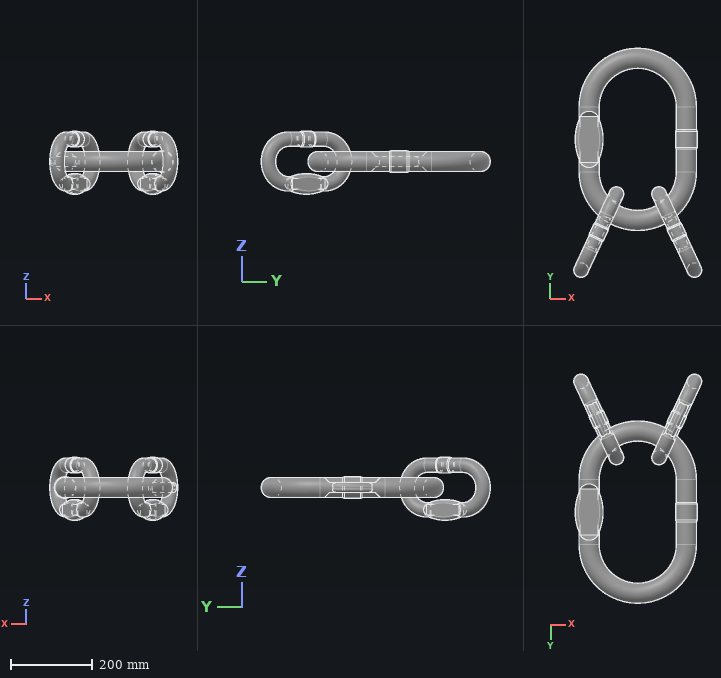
import cadquery as cq

master_wire = 50.0
master_inner_width = 189.0
master_straight = 160.0
master_collar = 53.5
master_collar_length = 39.5
master_collar_taper = 4.5
master_lug_width = 69.5
master_lug_radius = 124.5
master_flat_length = 113.0

sub_wire = 36.0
sub_inner_width = 74.0
sub_straight = 96.5
sub_collar = 39.0
sub_collar_length = 28.0
sub_collar_taper = 3.5
sub_lug_width = 51.5
sub_lug_radius = 113.0
sub_flat_length = 88.5

lug_thickness = 25.0
lug_edge_fillet = 8.5

splay_angle = 25.0
sub_center_x = 96.0
sub_center_y = -228.0


def oval_wire(wire, bend, straight):
    """Round bar following a closed oval, long axis Y."""
    half = straight / 2
    path = (
        cq.Workplane("XY")
        .moveTo(bend, -half)
        .lineTo(bend, half)
        .threePointArc((0, half + bend), (-bend, half))
        .lineTo(-bend, -half)
        .threePointArc((0, -half - bend), (bend, -half))
        .close()
    )
    section = cq.Workplane("XZ", origin=(bend, -half, 0)).circle(wire / 2)
    return section.sweep(path)


def weld_collar(wire, bend, diameter, length, taper):
    """Raised band with tapered ends around the middle of the +X leg."""
    half = length / 2
    end = half + taper
    return (
        cq.Workplane("XY")
        .moveTo(0, -end)
        .lineTo(wire / 2, -end)
        .lineTo(diameter / 2, -half)
        .lineTo(diameter / 2, half)
        .lineTo(wire / 2, end)
        .lineTo(0, end)
        .close()
        .revolve(360, (0, 0, 0), (0, 1, 0))
        .translate((bend, 0, 0))
    )


def lug_plate(bend, width, edge_radius):
    """Lens-shaped plate on the -X leg: the overlap of two round-edged discs."""
    disc = (
        cq.Workplane("XY")
        .circle(edge_radius)
        .extrude(lug_thickness / 2, both=True)
        .faces("|Z")
        .edges()
        .fillet(lug_edge_fillet)
    )
    offset = edge_radius - width / 2
    inner_edge = disc.translate((-bend - offset, 0, 0))
    outer_edge = disc.translate((-bend + offset, 0, 0))
    return inner_edge.intersect(outer_edge)


def flat_cutter(wire, bend, flat_length):
    """Trapezoid above the lug that leaves a flat with 45 degree ends."""
    floor = lug_thickness / 2
    depth = wire - floor
    half = flat_length / 2
    return (
        cq.Workplane("YZ", origin=(-bend, 0, 0))
        .moveTo(-half, floor)
        .lineTo(half, floor)
        .lineTo(half + depth, floor + depth)
        .lineTo(-half - depth, floor + depth)
        .close()
        .extrude(wire, both=True)
    )


def make_link(
    wire, inner_width, straight,
    collar, collar_length, collar_taper,
    lug_width, lug_radius, flat_length,
):
    """Complete link centred on the origin, collar on +X and lug on -X."""
    bend = (inner_width + wire) / 2
    upper_cut = flat_cutter(wire, bend, flat_length)
    lower_cut = upper_cut.mirror("XY")
    return (
        oval_wire(wire, bend, straight)
        .cut(upper_cut)
        .cut(lower_cut)
        .union(weld_collar(wire, bend, collar, collar_length, collar_taper))
        .union(lug_plate(bend, lug_width, lug_radius))
        .solids()
    )


def make_master_link():
    return make_link(
        master_wire, master_inner_width, master_straight,
        master_collar, master_collar_length, master_collar_taper,
        master_lug_width, master_lug_radius, master_flat_length,
    )


def make_sub_link(side):
    """Upright link with its collar on top; side is -1 for -X and +1 for +X."""
    link = make_link(
        sub_wire, sub_inner_width, sub_straight,
        sub_collar, sub_collar_length, sub_collar_taper,
        sub_lug_width, sub_lug_radius, sub_flat_length,
    )
    return (
        link.rotate((0, 0, 0), (0, 1, 0), -90)
        .rotate((0, 0, 0), (0, 0, 1), side * splay_angle)
        .translate((side * sub_center_x, sub_center_y, 0))
    )


master_link = make_master_link()
sub_links = [make_sub_link(side) for side in (-1, 1)]

result = cq.Compound.makeCompound([master_link.val(), *[link.val() for link in sub_links]])